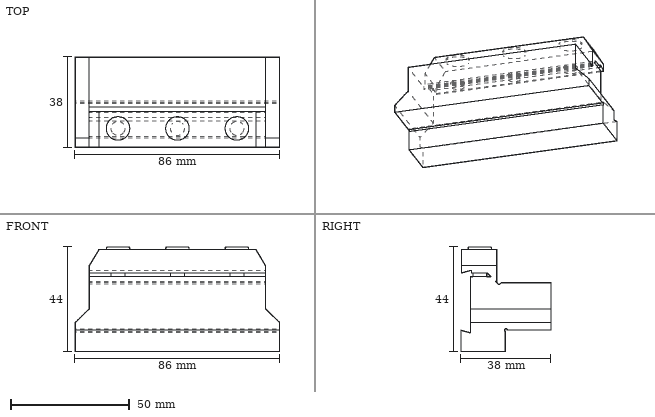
import cadquery as cq
import math

base_length = 86.0
base_depth = 18.8
base_height = 9.0
overall_depth = 38.0
jaw_reach = 4.0
clamp_setback = 0.2
total_height = 44.0

upper_length = 74.2
shoulder_bottom = 12.2
shoulder_top = 18.0
clamp_slope_run = 4.1
clamp_slope_rise = 6.9

deck_height = 29.0
clamp_depth = 14.95
head_height = 1.0
slot_floor = 31.5
slot_ceiling = 33.0
slot_end = 8.6
jaw_angle = 15.0
seat_step = 0.5
root_radius = 0.2

base_relief_radius = 0.55
base_relief_offset = 0.2
deck_relief_width = 1.9
deck_relief_roof = 29.55
deck_relief_undercut = 0.5
deck_relief_radius = 0.6

screw_pitch = 25.0
screw_count = 3
screw_y = 4.0
head_diameter = 9.9
head_rounding = 0.5
shank_diameter = 5.9

front_y = -jaw_reach
back_y = front_y + overall_depth
base_back_y = front_y + base_depth
clamp_front_y = front_y + clamp_setback
clamp_back_y = clamp_front_y + clamp_depth
clamp_top = total_height - head_height
jaw_slope = math.tan(math.radians(jaw_angle))
slot_ceiling_end = slot_end - (slot_ceiling - slot_floor)


def round_edge_along_x(body, corner, radius):
    """Round the lengthwise edge that passes through the (y, z) corner."""
    edge = cq.selectors.NearestToPointSelector((0, *corner))
    return body.edges("|X").edges(edge).fillet(radius)


def cross_section():
    """Body with the cross-section seen along X, extruded over the full length."""
    relief_outer_y = clamp_back_y + deck_relief_width
    relief_inner_y = clamp_back_y - deck_relief_undercut
    relief_depth = (relief_outer_y - relief_inner_y - (deck_relief_roof - deck_height)) / 2
    relief_bottom = (relief_outer_y - relief_depth, deck_height - relief_depth)
    lower_root = (0, base_height - jaw_reach * jaw_slope)
    upper_root = (seat_step, slot_ceiling + (seat_step - clamp_front_y) * jaw_slope)
    points = [
        (front_y, 0),
        (base_back_y, 0),
        (base_back_y, base_height),
        (back_y, base_height),
        (back_y, deck_height),
        (relief_outer_y, deck_height),
        relief_bottom,
        (relief_inner_y, deck_relief_roof),
        (clamp_back_y, deck_relief_roof),
        (clamp_back_y, clamp_top),
        (clamp_front_y, clamp_top),
        (clamp_front_y, slot_ceiling),
        upper_root,
        (seat_step, slot_ceiling),
        (slot_ceiling_end, slot_ceiling),
        (slot_end, slot_floor),
        (0, slot_floor),
        lower_root,
        (front_y, base_height),
    ]
    body = cq.Workplane("YZ").polyline(points).close().extrude(base_length / 2, both=True)
    body = round_edge_along_x(body, relief_bottom, deck_relief_radius)
    for root in (lower_root, upper_root):
        body = round_edge_along_x(body, root, root_radius)
    return body


def end_profile():
    """Solid with the stepped and sloped end outline seen along Y."""
    half_base = base_length / 2
    half_upper = upper_length / 2
    right_side = [
        (half_base, 0),
        (half_base, shoulder_bottom),
        (half_upper, shoulder_top),
        (half_upper, clamp_top - clamp_slope_rise),
        (half_upper - clamp_slope_run, clamp_top),
    ]
    left_side = [(-x, z) for x, z in reversed(right_side)]
    outline = cq.Workplane("XZ").polyline(right_side + left_side).close()
    return outline.extrude(overall_depth, both=True)


def base_relief():
    """Round relief groove along the inner corner behind the base."""
    centre = cq.Workplane("YZ").center(base_back_y + base_relief_offset, base_height)
    return centre.circle(base_relief_radius).extrude(base_length / 2, both=True)


def screw(x):
    """Clamping screw: rounded head on the clamp and shank across the slot."""
    head = (
        cq.Workplane("XY", origin=(x, screw_y, clamp_top))
        .circle(head_diameter / 2)
        .extrude(head_height)
        .faces(">Z")
        .edges()
        .fillet(head_rounding)
    )
    shank = (
        cq.Workplane("XY", origin=(x, screw_y, slot_floor))
        .circle(shank_diameter / 2)
        .extrude(clamp_top - slot_floor)
    )
    return head.union(shank)


result = cross_section().intersect(end_profile()).cut(base_relief())
for index in range(screw_count):
    result = result.union(screw((index - (screw_count - 1) / 2) * screw_pitch))